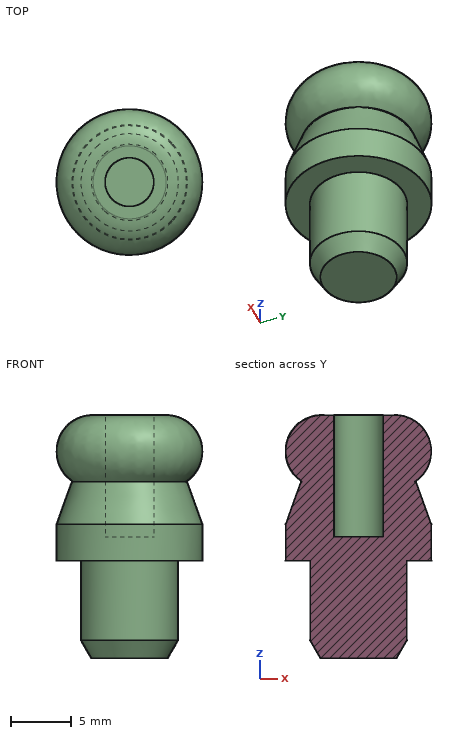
import cadquery as cq
import math

total_height = 20.0
tip_chamfer_height = 1.5
collar_bottom = 8.0
collar_height = 3.0
neck_height = 14.5

shank_radius = 4.0
collar_radius = 6.0
neck_radius = 4.75
head_round_radius = 3.0
bore_radius = 2.0

bore_depth = 10.0
tip_angle = math.radians(30)

tip_radius = shank_radius - tip_chamfer_height * math.tan(tip_angle)
collar_top = collar_bottom + collar_height
head_flat_radius = collar_radius - head_round_radius
head_center_z = total_height - head_round_radius

head_drop = head_center_z - neck_height
head_start_radius = head_flat_radius + math.sqrt(head_round_radius**2 - head_drop**2)


def body():
    """Revolve the half profile (radius, height) about the Z axis."""
    return (
        cq.Workplane("XZ")
        .lineTo(tip_radius, 0)
        .lineTo(shank_radius, tip_chamfer_height)
        .lineTo(shank_radius, collar_bottom)
        .lineTo(collar_radius, collar_bottom)
        .lineTo(collar_radius, collar_top)
        .lineTo(neck_radius, neck_height)
        .lineTo(head_start_radius, neck_height)
        .threePointArc((collar_radius, head_center_z), (head_flat_radius, total_height))
        .lineTo(0, total_height)
        .close()
        .revolve(360, (0, 0, 0), (0, 1, 0))
    )


def bore():
    """Flat-bottomed blind hole sunk from the top of the head."""
    return (
        cq.Workplane("XY")
        .workplane(offset=total_height - bore_depth)
        .circle(bore_radius)
        .extrude(bore_depth)
    )


result = body().cut(bore())